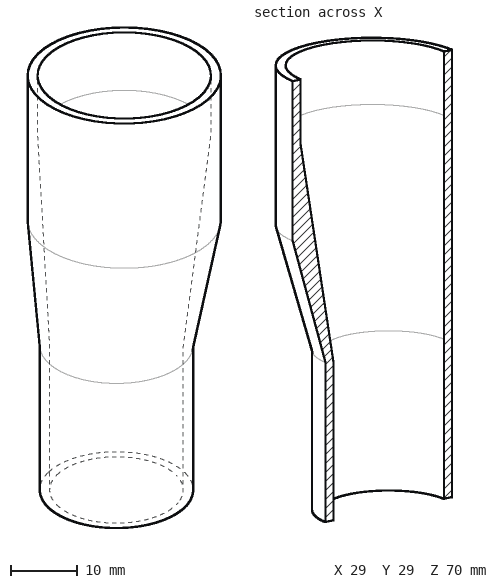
import cadquery as cq

total_length = 70.0
end_length = 25.0
large_diameter = 29.0
small_diameter = 23.0
large_bore = 26.0
small_bore = 20.0
socket_depth = 10.0
bore_small_length = end_length

small_end_y = -(large_diameter - small_diameter) / 2


def eccentric_body(small, large, lower_length, upper_length):
    """Solid with a small lower cylinder, a skewed taper and a large upper cylinder."""
    taper_length = total_length - lower_length - upper_length
    taper_top = lower_length + taper_length
    lower = cq.Workplane("XY").center(0, small_end_y).circle(small / 2).extrude(lower_length)
    taper = (
        cq.Workplane("XY", origin=(0, small_end_y, lower_length))
        .circle(small / 2)
        .workplane(offset=taper_length)
        .center(0, -small_end_y)
        .circle(large / 2)
        .loft(ruled=True)
    )
    upper = cq.Workplane("XY").workplane(offset=taper_top).circle(large / 2).extrude(upper_length)
    return lower.union(taper).union(upper)


outside = eccentric_body(small_diameter, large_diameter, end_length, end_length)
bore = eccentric_body(small_bore, large_bore, bore_small_length, socket_depth)

result = outside.cut(bore)